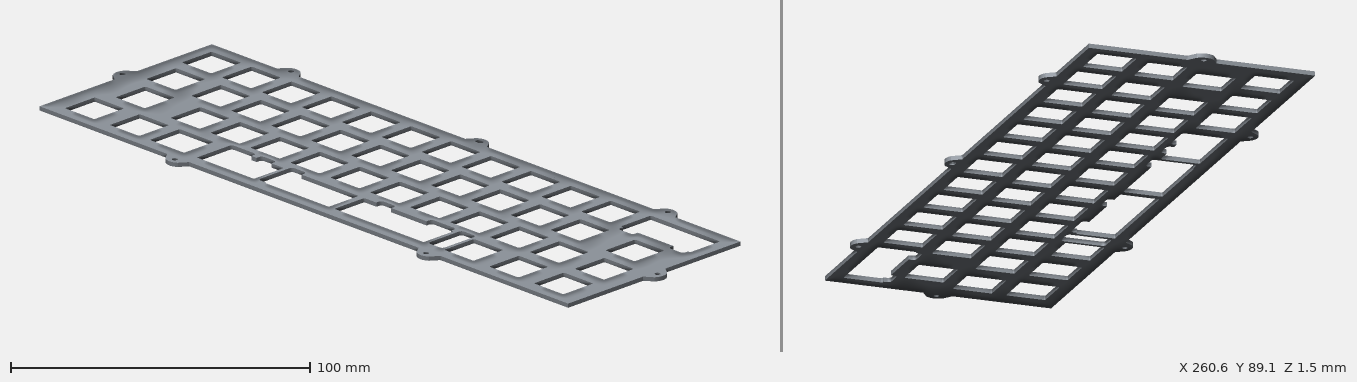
import cadquery as cq

length = 260.6
width = 89.1
thickness = 1.5
tab_reach = 4.2
plate_length = length - 2 * tab_reach
plate_width = width - 2 * tab_reach

key_pitch = 19.05
switch_size = 14.0
switch_corner = 0.5
row_1, row_2, row_3, row_4 = [key_pitch * n for n in (1.5, 0.5, -0.5, -1.5)]

switch_columns = {
    row_1: [-6.0 + n for n in range(11)],
    row_2: [-5.875] + [-4.75 + n for n in range(10)] + [5.625],
    row_3: [-5.625] + [-4.25 + n for n in range(10)] + [5.875],
    row_4: [-5.875, -4.75, 3.625, 4.75, 5.875],
}

wide_openings = [
    (row_1, 5.0, 6.0),
    (row_4, -3.75, -3.625),
    (row_4, -0.875, 0.0),
    (row_4, 0.875, 2.375),
]

stabilizer_width = 7.0
stabilizer_long_side = 9.5
stabilizer_short_side = 6.5
stabilizer_corner = 1.3
short_key_offset = 12.0
space_bar_offset = 47.7
long_space_bar_offset = 50.0

left_wide_key = -1.875
long_space_bar = -0.125

stabilizer_pairs = [
    (row_1, 5.5, short_key_offset),
    (row_4, left_wide_key, short_key_offset),
    (row_4, 1.625, short_key_offset),
    (row_4, 0.5, space_bar_offset),
    (row_4, long_space_bar, long_space_bar_offset),
]

left_opening_start = long_space_bar * key_pitch - long_space_bar_offset - stabilizer_width / 2
left_opening_end = left_wide_key * key_pitch + switch_size / 2

tab_base = 10.5
tab_shoulder = 6.0
tip_height = 1.0
hole_diameter = 2.0
hole_edge_distance = 2.5
slot_length = 3.0
back_tab_offset = 90.0
front_tab_offset = 60.0

back_edge = (plate_width / 2, 0)
left_edge = (plate_length / 2, 90)
front_edge = (plate_width / 2, 180)
right_edge = (plate_length / 2, 270)

tabs = [
    (back_edge, -back_tab_offset, hole_diameter),
    (back_edge, 0, slot_length),
    (back_edge, back_tab_offset, hole_diameter),
    (front_edge, -front_tab_offset, hole_diameter),
    (front_edge, front_tab_offset, hole_diameter),
    (left_edge, 0, hole_diameter),
    (right_edge, 0, hole_diameter),
]


def opening(x_min, x_max, y_min, y_max, corner):
    """Cutter for a rectangular opening with rounded corners."""
    return (
        cq.Workplane("XY")
        .center((x_min + x_max) / 2, (y_min + y_max) / 2)
        .rect(x_max - x_min, y_max - y_min)
        .extrude(thickness)
        .edges("|Z")
        .fillet(corner)
    )


def switch_height_opening(row, x_min, x_max):
    """Cutter one switch high between two X positions."""
    return opening(x_min, x_max, row - switch_size / 2, row + switch_size / 2, switch_corner)


def switch_opening(row, first_column, last_column):
    """Cutter for switches anywhere from the first to the last column."""
    x_min = first_column * key_pitch - switch_size / 2
    x_max = last_column * key_pitch + switch_size / 2
    return switch_height_opening(row, x_min, x_max)


def stabilizer_opening(row, x):
    """Cutter for one stabilizer, its long side toward the middle of the plate."""
    if row > 0:
        y_min, y_max = row - stabilizer_long_side, row + stabilizer_short_side
    else:
        y_min, y_max = row - stabilizer_short_side, row + stabilizer_long_side
    return opening(x - stabilizer_width / 2, x + stabilizer_width / 2, y_min, y_max, stabilizer_corner)


def on_edge(shape, edge, along):
    """Move a tab shape from the origin, where it points to +Y, onto a plate edge."""
    distance, turn = edge
    return shape.translate((along, distance, 0)).rotate((0, 0, 0), (0, 0, 1), turn)


def tab_body():
    """Tab standing on the X axis, with a root that reaches into the plate."""
    shoulder_height = tab_reach - tip_height
    return (
        cq.Workplane("XY")
        .moveTo(-tab_base / 2, -tab_reach)
        .lineTo(-tab_base / 2, 0)
        .lineTo(-tab_shoulder / 2, shoulder_height)
        .threePointArc((0, tab_reach), (tab_shoulder / 2, shoulder_height))
        .lineTo(tab_base / 2, 0)
        .lineTo(tab_base / 2, -tab_reach)
        .close()
        .extrude(thickness)
    )


def tab_hole(hole_length):
    """Cutter for a round tab hole, or a slot when it is longer than wide."""
    sketch = cq.Workplane("XY").center(0, tab_reach - hole_edge_distance)
    if hole_length > hole_diameter:
        return sketch.slot2D(hole_length, hole_diameter).extrude(thickness)
    return sketch.circle(hole_diameter / 2).extrude(thickness)


plate = cq.Workplane("XY").rect(plate_length, plate_width).extrude(thickness)
for edge, along, hole_length in tabs:
    plate = plate.union(on_edge(tab_body(), edge, along))
for edge, along, hole_length in tabs:
    plate = plate.cut(on_edge(tab_hole(hole_length), edge, along))

for row, columns in switch_columns.items():
    for column in columns:
        plate = plate.cut(switch_opening(row, column, column))
for row, first_column, last_column in wide_openings:
    plate = plate.cut(switch_opening(row, first_column, last_column))
plate = plate.cut(switch_height_opening(row_4, left_opening_start, left_opening_end))

for row, column, offset in stabilizer_pairs:
    for side in (-1, 1):
        plate = plate.cut(stabilizer_opening(row, column * key_pitch + side * offset))

result = plate